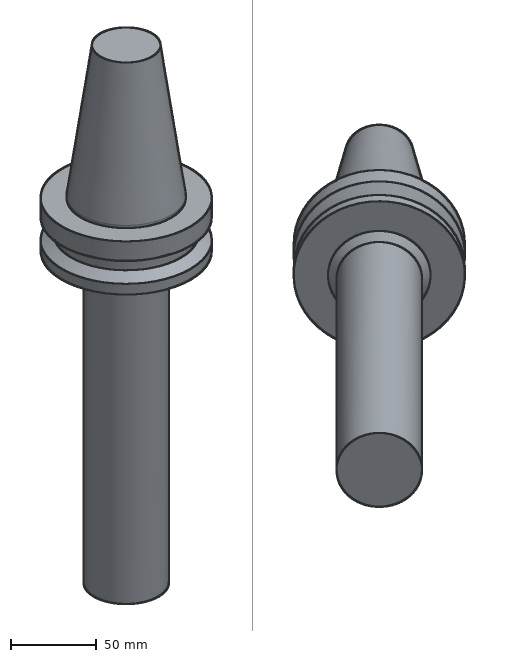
import cadquery as cq

total_length = 364.8
taper_length = 101.8
collar_length = 2.0
flange_length = 36.0
upper_rim = 13.0
lower_rim = 7.3
groove_floor = 6.2
boss_length = 4.5

taper_small_diameter = 40.0
taper_large_diameter = 69.5
flange_diameter = 100.0
groove_diameter = 85.0
boss_diameter = 60.0
shank_diameter = 50.0

taper_base = total_length - taper_length
flange_top = taper_base - collar_length
flange_bottom = flange_top - flange_length
groove_top = flange_top - upper_rim
groove_bottom = flange_bottom + lower_rim
groove_flank = (groove_top - groove_bottom - groove_floor) / 2
boss_bottom = flange_bottom - boss_length

profile = [
    (0, 0),
    (shank_diameter, 0),
    (shank_diameter, boss_bottom),
    (boss_diameter, flange_bottom),
    (flange_diameter, flange_bottom),
    (flange_diameter, groove_bottom),
    (groove_diameter, groove_bottom + groove_flank),
    (groove_diameter, groove_top - groove_flank),
    (flange_diameter, groove_top),
    (flange_diameter, flange_top),
    (taper_large_diameter, flange_top),
    (taper_large_diameter, taper_base),
    (taper_small_diameter, total_length),
    (0, total_length),
]

result = (
    cq.Workplane("XZ")
    .polyline([(diameter / 2, level) for diameter, level in profile])
    .close()
    .revolve(360, (0, 0, 0), (0, 1, 0))
)